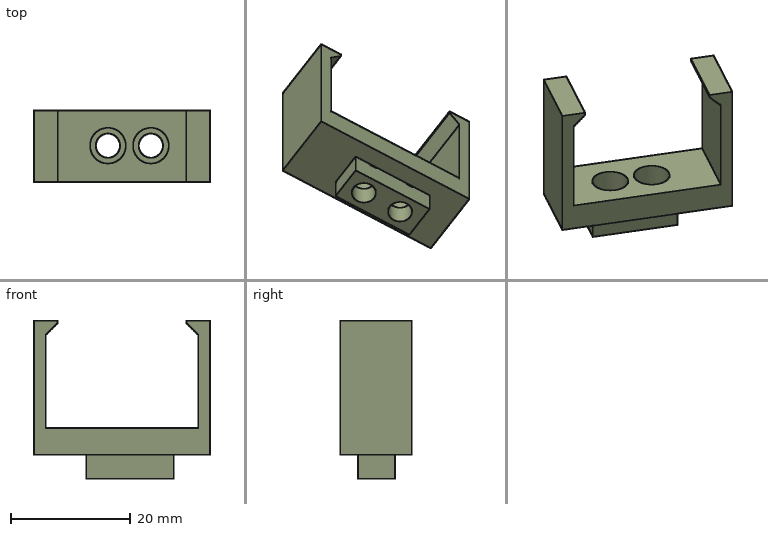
import cadquery as cq

length = 29.5
depth = 12.0
total_height = 26.5

wall = 2.0
floor_thickness = 4.5

lip_reach = 3.95
lip_edge_height = 0.45

key_length = 14.7
key_width = 6.25
key_height = 4.0
key_center_x = 1.35

hole_diameter = 4.0
bore_diameter = 6.0
bore_depth = floor_thickness
hole_spacing = 7.2
hole_center_x = 1.25
center_y = 0.1

channel_height = total_height - key_height


def make_channel():
    """Extrude the C-shaped profile, standing on Z = 0, along Y."""
    outer_x = length / 2
    inner_x = outer_x - wall
    tip_x = outer_x - lip_reach
    tip_z = channel_height - lip_edge_height
    lip_root_z = tip_z - (lip_reach - wall)
    right_half = [
        (outer_x, 0),
        (outer_x, channel_height),
        (tip_x, channel_height),
        (tip_x, tip_z),
        (inner_x, lip_root_z),
        (inner_x, floor_thickness),
    ]
    left_half = [(-x, z) for x, z in reversed(right_half)]
    profile = cq.Workplane("XZ").polyline(right_half + left_half).close()
    return profile.extrude(depth / 2, both=True)


def make_key():
    """Rectangular block hanging below the floor."""
    return (
        cq.Workplane("XY")
        .center(key_center_x, center_y)
        .rect(key_length, key_width)
        .extrude(-key_height)
    )


def cut_holes(body):
    """Cut both counterbored holes from the channel floor downward."""
    return (
        body.copyWorkplane(cq.Workplane("XY", origin=(hole_center_x, center_y, floor_thickness)))
        .rarray(hole_spacing, 0.3, 2, 1)
        .cboreHole(hole_diameter, bore_diameter, bore_depth, floor_thickness + key_height)
    )


result = cut_holes(make_channel().union(make_key()))